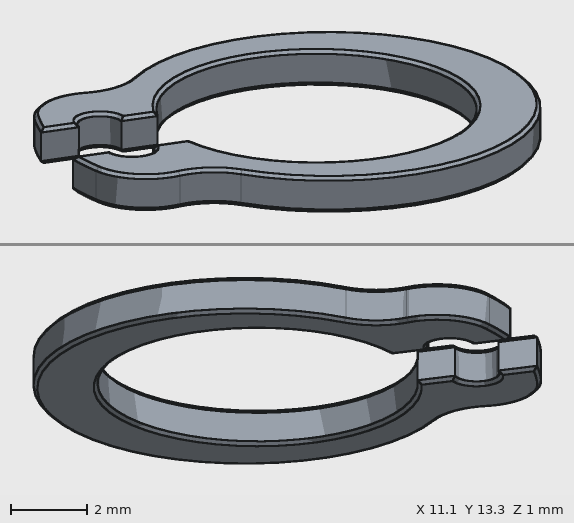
import cadquery as cq
import math

THICKNESS = 1.0
BORE_RADIUS = 4.2
BAND_WIDTH = 1.7
OUTER_RADIUS = 5.555
OUTER_CENTER = (0.0, BORE_RADIUS + BAND_WIDTH - OUTER_RADIUS)
GAP_HALF_WIDTH = 1.1
LUG_END_Y = -7.35
LUG_CORNER_RADIUS = 1.675
LUG_HALF_SPAN = 3.33
NECK_RADIUS = 1.675
PLIER_HOLE_RADIUS = 0.6
PLIER_HOLE_Y = -5.68
EDGE_CHAMFER = 0.1

LUG_TIP_RADIUS = math.hypot(GAP_HALF_WIDTH, LUG_END_Y)


def point_toward(start, target, distance):
    """Point at a distance from start along the line to target."""
    ratio = distance / math.dist(start, target)
    return (
        start[0] + (target[0] - start[0]) * ratio,
        start[1] + (target[1] - start[1]) * ratio,
    )


def arc_middle(center, radius, start, end):
    """Middle point of the shorter arc between two points of a circle."""
    chord_middle = ((start[0] + end[0]) / 2, (start[1] + end[1]) / 2)
    return point_toward(center, chord_middle, radius)


def blend_center(first_center, first_distance, second_center, second_distance):
    """Point at the given distances from two centers, on the +X side of the line joining them."""
    span = math.dist(first_center, second_center)
    along = (first_distance**2 - second_distance**2 + span**2) / (2 * span)
    offset = math.sqrt(first_distance**2 - along**2)
    foot = point_toward(first_center, second_center, along)
    unit_x = (second_center[0] - first_center[0]) / span
    unit_y = (second_center[1] - first_center[1]) / span
    return (foot[0] - unit_y * offset, foot[1] + unit_x * offset)


def mirrored(point):
    return (-point[0], point[1])


def ring_profile():
    """Outline of the ring and its lugs, built from tangent arcs, with bore and gap removed."""
    axis = (0.0, 0.0)
    lug_x = LUG_HALF_SPAN - LUG_CORNER_RADIUS
    lug_y = -math.sqrt((LUG_TIP_RADIUS - LUG_CORNER_RADIUS) ** 2 - lug_x**2)
    lug_center = (lug_x, lug_y)
    neck_center = blend_center(
        OUTER_CENTER,
        OUTER_RADIUS + NECK_RADIUS,
        lug_center,
        LUG_CORNER_RADIUS + NECK_RADIUS,
    )

    ring_end = point_toward(OUTER_CENTER, neck_center, OUTER_RADIUS)
    neck_end = point_toward(lug_center, neck_center, LUG_CORNER_RADIUS)
    tip_start = point_toward(axis, lug_center, LUG_TIP_RADIUS)
    ring_top = (0.0, OUTER_CENTER[1] + OUTER_RADIUS)
    tip_middle = (0.0, -LUG_TIP_RADIUS)
    neck_middle = arc_middle(neck_center, NECK_RADIUS, ring_end, neck_end)
    corner_middle = arc_middle(lug_center, LUG_CORNER_RADIUS, neck_end, tip_start)

    return (
        cq.Workplane("XY")
        .moveTo(*mirrored(ring_end))
        .threePointArc(ring_top, ring_end)
        .threePointArc(neck_middle, neck_end)
        .threePointArc(corner_middle, tip_start)
        .threePointArc(tip_middle, mirrored(tip_start))
        .threePointArc(mirrored(corner_middle), mirrored(neck_end))
        .threePointArc(mirrored(neck_middle), mirrored(ring_end))
        .close()
    )


def bore():
    return cq.Workplane("XY").circle(BORE_RADIUS).extrude(THICKNESS)


def gap():
    """Slot from the bore axis out past the ends of the lugs."""
    length = 2 * LUG_TIP_RADIUS
    return (
        cq.Workplane("XY")
        .center(0, -length / 2)
        .rect(2 * GAP_HALF_WIDTH, length)
        .extrude(THICKNESS)
    )


def plier_holes():
    """Holes centered on the gap faces, which leave a half-round notch in each lug."""
    return (
        cq.Workplane("XY")
        .pushPoints([(side * GAP_HALF_WIDTH, PLIER_HOLE_Y) for side in (-1, 1)])
        .circle(PLIER_HOLE_RADIUS)
        .extrude(THICKNESS)
    )


ring = ring_profile().extrude(THICKNESS).cut(bore()).cut(gap()).cut(plier_holes())
result = ring.faces("|Z").edges().chamfer(EDGE_CHAMFER)